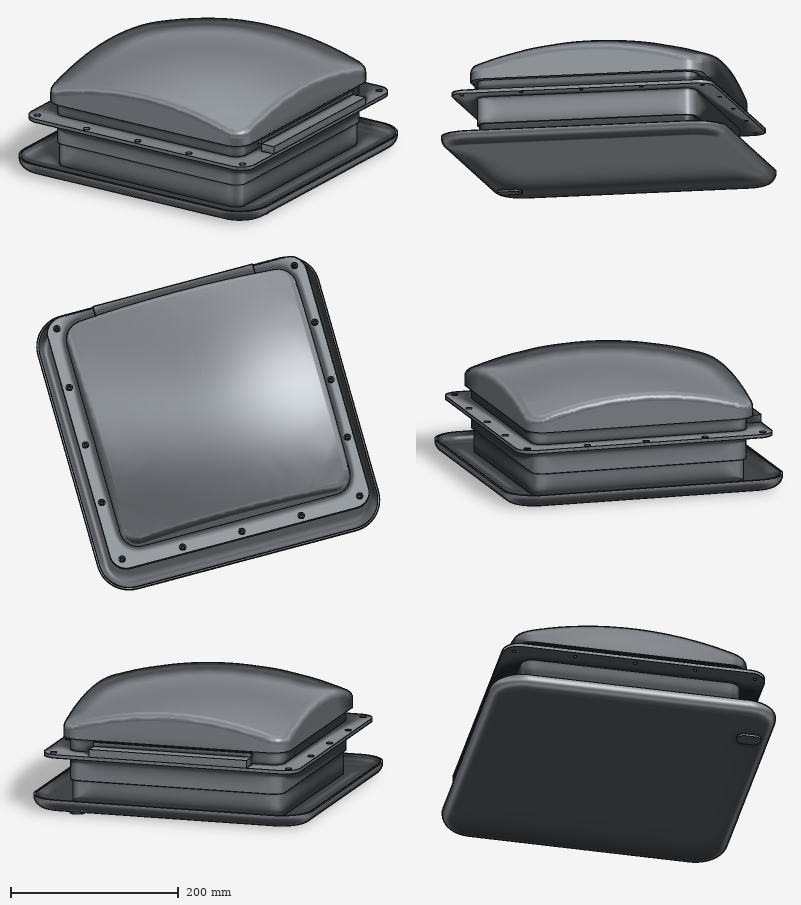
import cadquery as cq


knob_height = 2.8
dish_height = 15.3
neck_top = 34.5
flange_bottom = 66.2
flange_thickness = 4.0
hinge_top = 79.8
hinge_rail_height = 5.0
lid_bottom = 86.7
lid_top = 147.5
flange_top = flange_bottom + flange_thickness

corner_centre = 119.3
neck_corner_radius = 11.5
frame_corner_radius = 14.2
lid_corner_radius = 22.2
lid_side = 2 * (corner_centre + lid_corner_radius)

dish_side = 346.8
dish_corner_radius = 39.0
dish_wall = 2.5
dish_rounding = 14.0

flange_side = 319.0
flange_corner_radius = 19.8
hole_diameter = 4.0
countersink_diameter = 7.5
countersink_angle = 90
hole_pitch = 73.2
hole_row_offset = 151.5
corner_hole_offset = 146.7

dome_edge_half = 134.5
dome_edge_drop = 21.5
dome_radius = (dome_edge_half**2 + dome_edge_drop**2) / (2 * dome_edge_drop)
lid_rounding = 10.0
dome_stock = 17.5

hinge_length = 197.0
hinge_rail_width = 4.0

knob_length = 29.8
knob_width = 17.7
knob_x = 146.0
knob_y = -115.0


def rounded_block(side, corner_radius, bottom, height):
    """Square block with rounded vertical corners, centred on the Z axis."""
    block = cq.Workplane("XY", origin=(0, 0, bottom)).rect(side, side).extrude(height)
    return block.edges("|Z").fillet(corner_radius)


def concentric_block(corner_radius, bottom, top):
    """Rounded block whose corners turn about the shared corner centres."""
    side = 2 * (corner_centre + corner_radius)
    return rounded_block(side, corner_radius, bottom, top - bottom)


def make_trim():
    """Dish with a rolled-up rim, and the neck that rises from it to the frame."""
    dish = rounded_block(dish_side, dish_corner_radius, knob_height, dish_height)
    dish = dish.faces("<Z").edges().fillet(dish_rounding)
    inner_side = dish_side - 2 * dish_wall
    floor = knob_height + dish_wall
    hollow = rounded_block(inner_side, dish_corner_radius - dish_wall, floor, dish_height)
    hollow = hollow.faces("<Z").edges().fillet(dish_rounding - dish_wall)
    neck = concentric_block(neck_corner_radius, floor, neck_top)
    return dish.cut(hollow).union(neck)


def flange_hole_centres():
    """Corner holes, and rows of three along every side except the hinge side."""
    corners = [(sx * corner_hole_offset, sy * corner_hole_offset) for sx in (-1, 1) for sy in (-1, 1)]
    steps = [-hole_pitch, 0, hole_pitch]
    front_and_back = [(step, sy * hole_row_offset) for step in steps for sy in (-1, 1)]
    left = [(-hole_row_offset, step) for step in steps]
    return corners + front_and_back + left


def make_frame():
    """Square frame with its countersunk mounting flange."""
    flange = rounded_block(flange_side, flange_corner_radius, flange_bottom, flange_thickness)
    flange = (
        flange.faces(">Z")
        .workplane(origin=(0, 0, flange_top))
        .pushPoints(flange_hole_centres())
        .cskHole(hole_diameter, countersink_diameter, countersink_angle)
    )
    return concentric_block(frame_corner_radius, neck_top, lid_bottom).union(flange)


def make_lid():
    """Rounded block under a spherical dome, with the dome edge rounded over."""
    block = concentric_block(lid_corner_radius, lid_bottom, lid_top + dome_stock)
    dome = cq.Workplane("XY", origin=(0, 0, lid_top - dome_radius)).sphere(dome_radius)
    lid = block.intersect(dome)
    return lid.faces("%SPHERE").edges().fillet(lid_rounding)


def hinge_bar(x_start, x_width, bottom, height):
    """Bar as long as the hinge, starting at the given X and height."""
    bar = cq.Workplane("XY").box(x_width, hinge_length, height, centered=(False, True, False))
    return bar.translate((x_start, 0, bottom))


def make_hinge():
    """Hinge block on the flange, between the lid side and the flange edge."""
    lid_face = lid_side / 2
    return hinge_bar(lid_face, flange_side / 2 - lid_face, flange_top, hinge_top - flange_top)


def make_hinge_rail():
    """Narrow rail along the top inner edge of the hinge block, below the lid."""
    return hinge_bar(lid_side / 2 - hinge_rail_width, hinge_rail_width, hinge_top, hinge_rail_height)


def make_knob():
    """Flat knob with round ends under the dish."""
    return cq.Workplane("XY", origin=(knob_x, knob_y, 0)).slot2D(knob_length, knob_width).extrude(knob_height)


trim = make_trim()
frame = make_frame()
lid = make_lid()
hinge = make_hinge()
hinge_rail = make_hinge_rail()
knob = make_knob()

result = cq.Compound.makeCompound(
    [
        *trim.solids().vals(),
        *frame.solids().vals(),
        *lid.solids().vals(),
        hinge.val(),
        hinge_rail.val(),
        knob.val(),
    ]
)